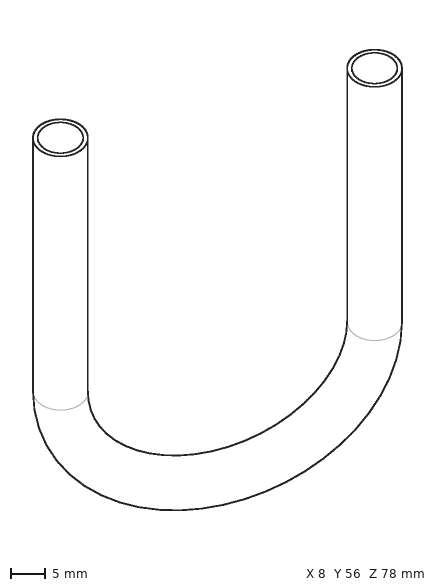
import cadquery as cq

OUTER_DIAMETER = 8.0
WALL_THICKNESS = 0.7
BEND_RADIUS = 24.0
LEG_LENGTH = 50.0

INNER_DIAMETER = OUTER_DIAMETER - 2 * WALL_THICKNESS


def u_centreline():
    """Centreline in the YZ plane: down one leg, round the bend, up the other leg."""
    return (
        cq.Workplane("YZ")
        .moveTo(-BEND_RADIUS, LEG_LENGTH)
        .lineTo(-BEND_RADIUS, 0)
        .threePointArc((0, -BEND_RADIUS), (BEND_RADIUS, 0))
        .lineTo(BEND_RADIUS, LEG_LENGTH)
    )


def bent_tube():
    """Sweep the ring-shaped tube section along the centreline."""
    leg_end = cq.Workplane("XY", origin=(0, -BEND_RADIUS, LEG_LENGTH))
    section = leg_end.circle(OUTER_DIAMETER / 2).circle(INNER_DIAMETER / 2)
    return section.sweep(u_centreline())


result = bent_tube()